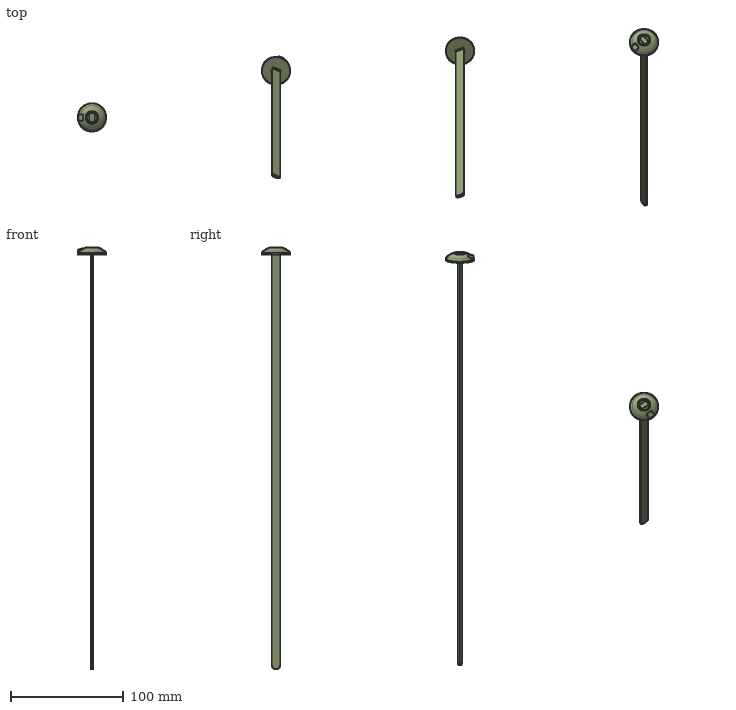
import cadquery as cq
import math


total_length = 375.92
head_diameter = 25.4
head_height = 6.35
head_radius = head_diameter / 2
blade_length = total_length - head_height

rim_height = 1.4
crown_edge_radius = 10.7
crown_edge_height = 3.6
shoulder_arc_radius = 5.0
crown_sphere_radius = 18.0

recess_rim_radius = 5.65
recess_floor_radius = 4.6
recess_depth = 0.6
recess_floor_height = head_height - recess_depth

pointer_width = 5.7
pointer_outer_radius = 12.55
pointer_inner_radius = 7.7
pointer_base_height = rim_height / 2
pointer_top_height = 5.85
pointer_slope_angle = 17.0
pointer_corner_fillet = 1.0
pointer_top_fillet = 0.8

blade_width = 7.62
blade_thickness = 1.9
tang_thickness = 4.54


def make_dome():
    """Head of revolution about Z, including the recess in its top."""
    return (
        cq.Workplane("XZ")
        .lineTo(head_radius, 0)
        .lineTo(head_radius, rim_height)
        .radiusArc((crown_edge_radius, crown_edge_height), -shoulder_arc_radius)
        .radiusArc((recess_rim_radius, head_height), -crown_sphere_radius)
        .lineTo(recess_floor_radius, recess_floor_height)
        .lineTo(0, recess_floor_height)
        .close()
        .revolve(360, (0, 0), (0, 1))
    )


def make_pointer():
    """Sloping block with a cylindrical outer face and rounded corners and top edges."""
    pointer_length = pointer_outer_radius - pointer_inner_radius
    slope_drop = pointer_length * math.tan(math.radians(pointer_slope_angle))
    block = (
        cq.Workplane("XZ")
        .moveTo(-pointer_outer_radius, pointer_base_height)
        .lineTo(-pointer_inner_radius, pointer_base_height)
        .lineTo(-pointer_inner_radius, pointer_top_height)
        .lineTo(-pointer_outer_radius, pointer_top_height - slope_drop)
        .close()
        .extrude(pointer_width / 2, both=True)
    )
    outer_limit = cq.Workplane("XY").circle(pointer_outer_radius).extrude(head_height)
    return (
        block.intersect(outer_limit)
        .edges("|Z")
        .fillet(pointer_corner_fillet)
        .faces(">Z")
        .edges()
        .fillet(pointer_top_fillet)
    )


def make_tang():
    """Thick end of the blade, reaching from the underside of the head to the recess floor."""
    return cq.Workplane("XY").rect(tang_thickness, blade_width).extrude(recess_floor_height)


def make_head():
    """Dome with the pointer on it and a hole that fits the tang."""
    return make_dome().union(make_pointer()).cut(make_tang())


def make_blade():
    """Strip in the YZ plane with a semicircular tip, joined to its tang."""
    half_width = blade_width / 2
    tip_arc_start = half_width - blade_length
    strip = (
        cq.Workplane("YZ")
        .moveTo(-half_width, 0)
        .lineTo(-half_width, tip_arc_start)
        .threePointArc((0, -blade_length), (half_width, tip_arc_start))
        .lineTo(half_width, 0)
        .close()
        .extrude(blade_thickness / 2, both=True)
    )
    return strip.union(make_tang())


head = make_head().solids()
blade = make_blade().solids()

result = cq.Compound.makeCompound([head.val(), blade.val()])